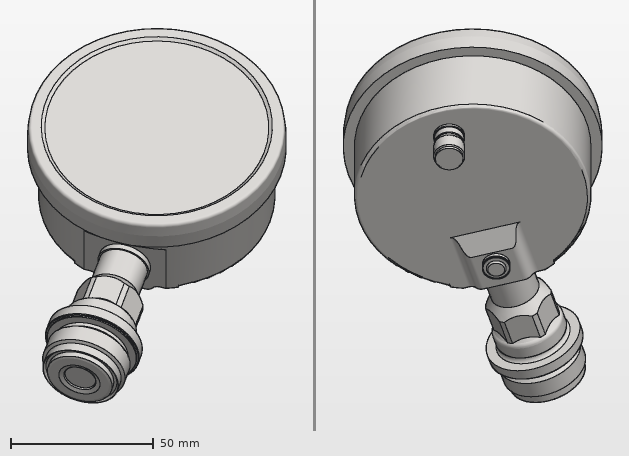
import cadquery as cq
import math


bezel_radius = 45.5
bezel_bottom = 18.3
bezel_taper_start = 24.2
bezel_top = 29.8
bezel_taper = 0.5
bezel_fillet = 1.4
window_rim_radius = 40.6
window_radius = 39.3
window_depth = 0.8

case_radius = 41.6
case_bottom = -9.5
case_fillet = 1.3
square_edge_half_width = 19.0
flat_y = -38.8
flat_top = 11.9
flat_run_out_height = 1.5

lug_bottom = -12.5
lug_half_width = 7.4
lug_flank_width = 5.3
lug_nose_start = -15.4
lug_nose_end = -23.8

fitting_offset = 29.3
screw_radius = 4.9
screw_groove_radius = 4.6
screw_groove_top = -13.7
screw_groove_bottom = -14.4
screw_lip_bottom = -14.7
screw_tip_top_radius = 3.5
screw_tip_radius = 3.0
screw_end = -15.4
plug_radius = 5.5
plug_neck_radius = 5.2
plug_groove_radius = 4.9
plug_collar_bottom = -10.5
plug_neck_bottom = -13.6
plug_groove_bottom = -15.3
plug_head_bottom = -20.9
plug_end = -22.3

collar_radius = 9.4
collar_end = 40.9
stem_radius = 8.8
stem_end = 52.5
hex_sides = 6
hex_across_flats = 21.8
hex_bar_radius = 12.0
hex_start = 56.7
hex_end = 66.8
hex_run_out = 1.3
shoulder_radius = 13.0
shoulder_start = 68.5
shoulder_chamfer = 0.4
stem_root = 28.0

joint = 73.0
joint_radius = shoulder_radius - shoulder_chamfer
flange_start = 74.9
flange_neck_radius = 13.6
flange_radius = 17.2
flange_edge_chamfer = 0.3
flange_edge_end = 79.1
flange_face_radius = 16.4
flange_end = 79.6
groove_radius = 13.5
groove_end = 81.2
ring_start = 82.9
ring_radius = 15.1
ring_end = 89.2
rim_radius = 13.9
rim_start = 89.7
rim_end = 93.1
rim_lip_width = 0.1
rim_recess_radius = 13.0
rim_recess_depth = 1.0
nose_radius = 11.9
nose_face_radius = 10.9
nose_chamfer_length = 0.3
coupling_end = 94.5
socket_mouth_radius = 7.5
socket_radius = 5.9
socket_cone_depth = 0.5
socket_depth = 1.1
socket_floor_radius = 5.6


def arc_middle(run, rise):
    """Middle of an arc that leaves the origin along the run and ends at (run, rise)."""
    radius = (run ** 2 + rise ** 2) / (2 * rise)
    half_angle = math.asin(run / radius) / 2
    return radius * math.sin(half_angle), radius * (1 - math.cos(half_angle))


def turned_about_z(points, y=0.0):
    """Solid of revolution about a vertical axis; points are (radius, Z)."""
    return (
        cq.Workplane("XZ").polyline(points).close()
        .revolve(360, (0, 0, 0), (0, 1, 0))
        .translate((0, y, 0))
    )


def turned_about_stem(outline):
    """Solid of revolution about the stem axis; the outline is drawn as (radius, Y)."""
    return outline.close().revolve(360, (0, 0, 0), (0, 1, 0))


def make_bezel():
    blank = turned_about_z([
        (0, bezel_bottom),
        (bezel_radius, bezel_bottom),
        (bezel_radius, bezel_taper_start),
        (bezel_radius - bezel_taper, bezel_top),
        (0, bezel_top),
    ])
    blank = blank.faces(">Z").edges().fillet(bezel_fillet)
    window = turned_about_z([
        (0, bezel_top),
        (window_rim_radius, bezel_top),
        (window_radius, bezel_top - window_depth),
        (0, bezel_top - window_depth),
    ])
    return blank.cut(window)


def make_case():
    height = bezel_bottom - case_bottom
    drum = cq.Workplane("XY").workplane(offset=case_bottom).circle(case_radius).extrude(height)
    square_edge_zone = (
        cq.Workplane("XY").workplane(offset=case_bottom)
        .rect(2 * square_edge_half_width, case_radius)
        .extrude(height)
        .translate((0, -case_radius / 2, 0))
    )
    square_edge = drum.intersect(square_edge_zone)
    case = drum.faces("<Z").edges().fillet(case_fillet).union(square_edge)
    flat_cut = (
        cq.Workplane("YZ")
        .polyline([
            (flat_y, case_bottom),
            (flat_y, flat_top),
            (-case_radius, flat_top + flat_run_out_height),
            (-bezel_radius, flat_top + flat_run_out_height),
            (-bezel_radius, case_bottom),
        ])
        .close()
        .extrude(case_radius, both=True)
    )
    return case.cut(flat_cut)


def make_lug():
    """Raised pad with S-shaped flanks, sloping up into the case bottom at its inner end."""
    drop = case_bottom - lug_bottom
    foot = lug_half_width + lug_flank_width
    arc_x, arc_z = arc_middle(lug_flank_width / 2, drop / 2)
    flank_x = lug_half_width + lug_flank_width / 2
    flank_z = case_bottom - drop / 2
    pad = (
        cq.Workplane("XZ")
        .moveTo(-foot, case_bottom)
        .threePointArc((-foot + arc_x, case_bottom - arc_z), (-flank_x, flank_z))
        .threePointArc((-lug_half_width - arc_x, lug_bottom + arc_z), (-lug_half_width, lug_bottom))
        .lineTo(lug_half_width, lug_bottom)
        .threePointArc((lug_half_width + arc_x, lug_bottom + arc_z), (flank_x, flank_z))
        .threePointArc((foot - arc_x, case_bottom - arc_z), (foot, case_bottom))
        .close()
        .extrude(-flat_y)
    )
    side_shape = (
        cq.Workplane("YZ")
        .polyline([
            (flat_y, case_bottom),
            (lug_nose_start, case_bottom),
            (lug_nose_end, lug_bottom),
            (flat_y, lug_bottom),
        ])
        .close()
        .extrude(foot, both=True)
    )
    return pad.intersect(side_shape)


def make_screw():
    return turned_about_z([
        (0, case_bottom),
        (screw_radius, case_bottom),
        (screw_radius, screw_groove_top),
        (screw_groove_radius, screw_groove_top),
        (screw_groove_radius, screw_groove_bottom),
        (screw_radius, screw_groove_bottom),
        (screw_radius, screw_lip_bottom),
        (screw_tip_top_radius, screw_lip_bottom),
        (screw_tip_radius, screw_end),
        (0, screw_end),
    ], -fitting_offset)


def make_vent_plug():
    neck_step = plug_radius - plug_neck_radius
    groove_step = plug_neck_radius - plug_groove_radius
    head_step = plug_radius - plug_groove_radius
    return turned_about_z([
        (0, case_bottom),
        (plug_radius, case_bottom),
        (plug_radius, plug_collar_bottom),
        (plug_neck_radius, plug_collar_bottom - neck_step),
        (plug_neck_radius, plug_neck_bottom),
        (plug_groove_radius, plug_neck_bottom - groove_step),
        (plug_groove_radius, plug_groove_bottom),
        (plug_radius, plug_groove_bottom - neck_step),
        (plug_radius, plug_head_bottom),
        (plug_groove_radius, plug_head_bottom - head_step / 2),
        (plug_groove_radius, plug_end),
        (0, plug_end),
    ], fitting_offset)


def make_stem():
    along, across = arc_middle(shoulder_start - hex_end, shoulder_radius - hex_bar_radius)
    round_middle = (shoulder_radius - across, -shoulder_start + along)
    bar = turned_about_stem(
        cq.Workplane("XY")
        .moveTo(0, -stem_root)
        .lineTo(collar_radius, -stem_root)
        .lineTo(collar_radius, -collar_end)
        .lineTo(stem_radius, -collar_end)
        .lineTo(stem_radius, -stem_end)
        .lineTo(hex_bar_radius, -hex_start)
        .lineTo(hex_bar_radius, -hex_end)
        .threePointArc(round_middle, (shoulder_radius, -shoulder_start))
        .lineTo(shoulder_radius, -joint + shoulder_chamfer)
        .lineTo(joint_radius, -joint)
        .lineTo(0, -joint)
    )
    return bar.cut(make_hex_flats())


def make_hex_flats():
    """Material milled off the round bar to leave six flats with conical run-outs."""
    flat_distance = hex_across_flats / 2
    flat_turn = 180 / hex_sides
    waste = turned_about_stem(
        cq.Workplane("XY")
        .moveTo(0, -stem_end)
        .lineTo(shoulder_radius, -stem_end)
        .lineTo(shoulder_radius, -hex_end)
        .lineTo(hex_bar_radius, -hex_end)
        .lineTo(flat_distance, -hex_end + hex_run_out)
        .lineTo(0, -hex_end + hex_run_out)
    )
    hex_bar = (
        cq.Workplane("XZ").workplane(offset=stem_end)
        .transformed(rotate=(0, 0, flat_turn))
        .polygon(hex_sides, hex_across_flats, circumscribed=True)
        .extrude(shoulder_start - stem_end)
    )
    return waste.cut(hex_bar)


def make_coupling():
    along, across = arc_middle(flange_start - joint, flange_neck_radius - joint_radius)
    return turned_about_stem(
        cq.Workplane("XY")
        .moveTo(0, -joint)
        .lineTo(joint_radius, -joint)
        .threePointArc((joint_radius + across, -joint - along), (flange_neck_radius, -flange_start))
        .polyline([
            (flange_radius, -flange_start),
            (flange_radius, -flange_edge_end + flange_edge_chamfer),
            (flange_radius - flange_edge_chamfer, -flange_edge_end),
            (flange_face_radius, -flange_edge_end),
            (flange_face_radius, -flange_end),
            (groove_radius, -flange_end),
            (groove_radius, -groove_end),
            (ring_radius, -ring_start),
            (ring_radius, -ring_end),
            (rim_radius, -rim_start),
            (rim_radius, -rim_end),
            (rim_radius - rim_lip_width, -rim_end),
            (rim_recess_radius, -rim_end + rim_recess_depth),
            (nose_radius, -rim_end + rim_recess_depth),
            (nose_radius, -coupling_end + nose_chamfer_length),
            (nose_face_radius, -coupling_end),
            (socket_mouth_radius, -coupling_end),
            (socket_radius, -coupling_end + socket_cone_depth),
            (socket_floor_radius, -coupling_end + socket_depth),
            (0, -coupling_end + socket_depth),
        ], includeCurrent=True)
    )


def make_gauge():
    gauge = make_bezel()
    for feature in (make_case(), make_lug(), make_screw(), make_vent_plug(), make_stem()):
        gauge = gauge.union(feature)
    return gauge


gauge = make_gauge()
coupling = make_coupling()
result = cq.Compound.makeCompound([gauge.val(), coupling.val()])